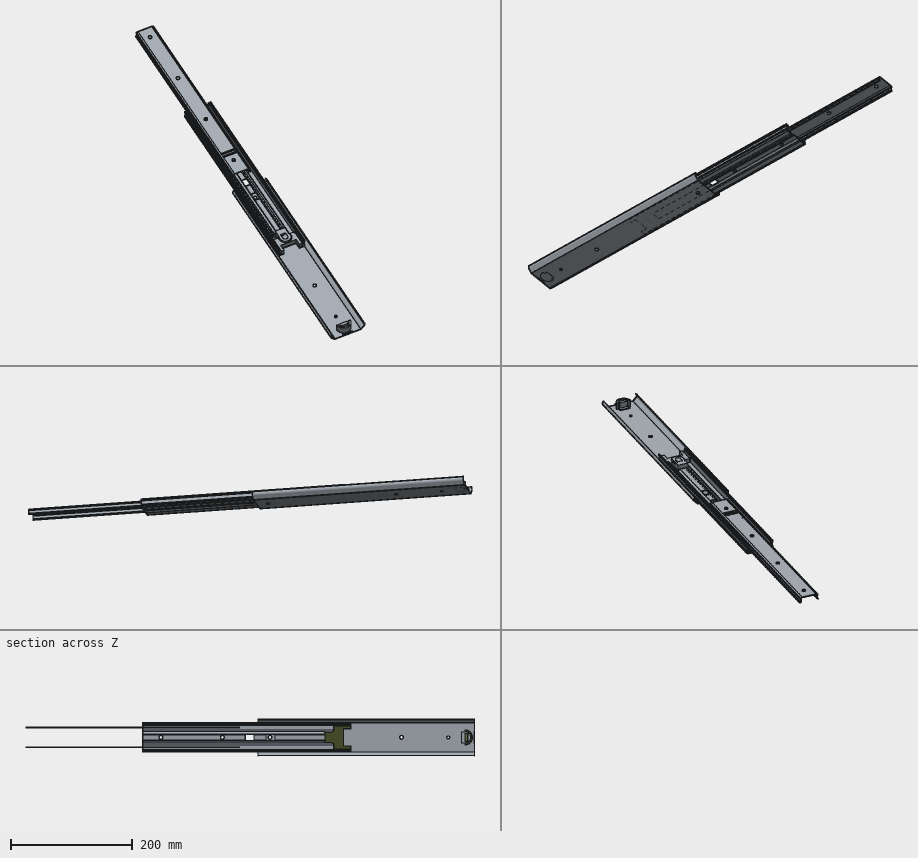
import cadquery as cq

HEIGHT = 16.0
SHEET = 1.5
MITER = SHEET / 2
HOLE_RADIUS = 3.0
TALL = 2 * HEIGHT

OUTER_START = 381.0
OUTER_END = 737.0
OUTER_HALF_WIDTH = 32.0
OUTER_WEB_HALF = 24.0
OUTER_LIP_THICKNESS = 0.9
OUTER_LIP_TOP = 14.0
OUTER_LIP_Y = 29.5
OUTER_BEND = (29.5, 5.0)
OUTER_RACE_Z = 9.5
OUTER_HOLES = (401.0, 617.0)
RIVET_HOLE_X = 693.0
RIVET_HOLE_RADIUS = 2.0

MIDDLE_START = 191.5
MIDDLE_END = 533.5
MIDDLE_HALF_WIDTH = 24.0
MIDDLE_BOTTOM = 1.85
MIDDLE_WEB_HALF = 21.0
MIDDLE_LIP = 2.0
GROOVE_DEPTH = 1.1

RIDGE_TOP = 5.5
RIDGE_TOP_HALF = 5.5
RIDGE_FOOT_HALF = 9.5
RIDGE_END = 491.0
WINDOW_HALF = 4.8
WINDOWS = ((360.0, 374.0), (394.0, 409.0))
END_NOTCH_START = 521.5
END_NOTCH_HALF = 14.0

INNER_LENGTH = 351.0
INNER_HALF_WIDTH = 17.0
INNER_BOTTOM = 6.0
INNER_WEB_HALF = 12.5
INNER_SHOULDER_HALF = 16.0
INNER_SHOULDER_Z = 15.0
INNER_GROOVE_DEPTH = 1.5
INNER_FIRST_HOLE = 20.0
INNER_HOLE_PITCH = 101.0
INNER_HOLE_COUNT = 4
INNER_HOLES = [INNER_FIRST_HOLE + i * INNER_HOLE_PITCH for i in range(INNER_HOLE_COUNT)]
SLIT_WIDTH = 2.0
SLIT_LENGTH = 22.0
SLITS = (302.0, 309.0)

RETAINER_END = 505.0
RETAINER_FOOT_START = 12.5
RETAINER_FOOT_END = 20.5
RETAINER_FOOT_THICKNESS = 2.0
RETAINER_WALL = 1.1
RETAINER_TOP = 15.5

STOP_HEAD_HALF = 9.0
STOP_TOP = 13.0
STOP_BASE_START = 505.5
STOP_BASE_HALF = 19.0
STOP_BASE_TOP = 12.0
STOP_NOSE_X = 510.0
STOP_NOSE_RADIUS = 12.0
STOP_CHAMFER = 2.0
STOP_CHANNEL_START = 502.0
STOP_CHANNEL_RADIUS = 4.5

BUMPER_X = 720.5
BUMPER_RADIUS = 12.5
BUMPER_WALL = 3.0
BUMPER_TOP = 13.0
BUMPER_CORE_DEPTH = 5.0
BUMPER_CORE_HALF = 6.5
BUMPER_PLATE_START = 715.0
BUMPER_PLATE_HALF = 9.0
BUMPER_PLATE_TOP = 3.0

TAB_HALF = 9.0
TAB_HEIGHT = 4.0


def box(x_range, y_range, z_range):
    """Block spanning the given ranges."""
    lengths = [end - start for start, end in (x_range, y_range, z_range)]
    corner = (x_range[0], y_range[0], z_range[0])
    return cq.Workplane("XY").box(*lengths, centered=False).translate(corner)


def hole(x, radius):
    """Vertical cutter on the slide's centre line."""
    return cq.Workplane("XY").center(x, 0).circle(radius).extrude(TALL)


def rail(half_outline, start, end):
    """Extrude a half section along X and mirror it about the centre plane."""
    half = half_outline.close().extrude(end - start).translate((start, 0, 0))
    return half.union(half.mirror("XZ")).clean()


def outer_half():
    bend_y, bend_z = OUTER_BEND
    return (
        cq.Workplane("YZ")
        .moveTo(0, 0)
        .lineTo(OUTER_WEB_HALF, 0)
        .lineTo(bend_y, bend_z)
        .threePointArc((OUTER_HALF_WIDTH, OUTER_RACE_Z), (OUTER_LIP_Y, OUTER_LIP_TOP))
        .lineTo(OUTER_LIP_Y - OUTER_LIP_THICKNESS, OUTER_LIP_TOP - OUTER_LIP_THICKNESS)
        .threePointArc((OUTER_HALF_WIDTH - SHEET, OUTER_RACE_Z), (bend_y - SHEET, bend_z + MITER))
        .lineTo(OUTER_WEB_HALF - MITER, SHEET)
        .lineTo(0, SHEET)
    )


def outer_rail():
    body = rail(outer_half(), OUTER_START, OUTER_END)
    for x in OUTER_HOLES:
        body = body.cut(hole(x, HOLE_RADIUS))
    body = body.cut(hole(RIVET_HOLE_X, RIVET_HOLE_RADIUS))
    tab = box((OUTER_END - SHEET, OUTER_END), (-TAB_HALF, TAB_HALF), (0, TAB_HEIGHT))
    return body.union(tab)


def middle_half(ridge):
    """Half section of the middle rail, with or without its raised centre ridge."""
    web_top = MIDDLE_BOTTOM + SHEET
    low = MIDDLE_BOTTOM + MIDDLE_LIP
    groove_low = low + MIDDLE_LIP + GROOVE_DEPTH
    groove_high = HEIGHT - MIDDLE_LIP - GROOVE_DEPTH
    groove_y = MIDDLE_HALF_WIDTH - GROOVE_DEPTH
    outside = [
        (MIDDLE_WEB_HALF, MIDDLE_BOTTOM),
        (MIDDLE_HALF_WIDTH, low),
        (MIDDLE_HALF_WIDTH, low + MIDDLE_LIP),
        (groove_y, groove_low),
        (groove_y, groove_high),
        (MIDDLE_HALF_WIDTH, HEIGHT - MIDDLE_LIP),
        (MIDDLE_HALF_WIDTH, HEIGHT),
    ]
    inside = [
        (MIDDLE_HALF_WIDTH - SHEET, HEIGHT),
        (MIDDLE_HALF_WIDTH - SHEET, HEIGHT - MIDDLE_LIP + MITER),
        (groove_y - SHEET, groove_high + MITER),
        (groove_y - SHEET, groove_low - MITER),
        (MIDDLE_HALF_WIDTH - SHEET, low + MIDDLE_LIP - MITER),
        (MIDDLE_HALF_WIDTH - SHEET, low + MITER),
        (MIDDLE_WEB_HALF - MITER, web_top),
    ]
    if ridge:
        under = [
            (0, RIDGE_TOP - SHEET),
            (RIDGE_TOP_HALF - SHEET, RIDGE_TOP - SHEET),
            (RIDGE_FOOT_HALF - SHEET, MIDDLE_BOTTOM),
        ]
        over = [
            (RIDGE_FOOT_HALF, web_top),
            (RIDGE_TOP_HALF, RIDGE_TOP),
            (0, RIDGE_TOP),
        ]
    else:
        under = [(0, MIDDLE_BOTTOM)]
        over = [(0, web_top)]
    return cq.Workplane("YZ").polyline(under + outside + inside + over)


def end_notch():
    """Cutter that leaves two prongs at the far end of the middle rail and its stop."""
    return box((END_NOTCH_START, MIDDLE_END), (-END_NOTCH_HALF, END_NOTCH_HALF), (0, TALL))


def middle_rail():
    ridged = rail(middle_half(ridge=True), MIDDLE_START, RIDGE_END)
    plain = rail(middle_half(ridge=False), RIDGE_END, MIDDLE_END)
    body = ridged.union(plain)
    for window in WINDOWS:
        body = body.cut(box(window, (-WINDOW_HALF, WINDOW_HALF), (0, TALL)))
    for x in INNER_HOLES:
        if x > MIDDLE_START:
            body = body.cut(hole(x, HOLE_RADIUS))
    return body.cut(end_notch())


def inner_half():
    low = INNER_BOTTOM + MITER
    groove_y = INNER_HALF_WIDTH - INNER_GROOVE_DEPTH
    groove_low = low + INNER_GROOVE_DEPTH
    high = INNER_SHOULDER_Z - MITER
    groove_high = high - INNER_GROOVE_DEPTH
    return cq.Workplane("YZ").polyline(
        [
            (0, HEIGHT),
            (INNER_WEB_HALF, HEIGHT),
            (INNER_SHOULDER_HALF, INNER_SHOULDER_Z),
            (INNER_SHOULDER_HALF, high),
            (groove_y, groove_high),
            (groove_y, groove_low),
            (INNER_HALF_WIDTH, low),
            (INNER_HALF_WIDTH, INNER_BOTTOM),
            (INNER_HALF_WIDTH - SHEET, INNER_BOTTOM),
            (groove_y - SHEET, groove_low - MITER),
            (groove_y - SHEET, groove_high + MITER),
            (INNER_SHOULDER_HALF - SHEET, high),
            (INNER_WEB_HALF - MITER, HEIGHT - SHEET),
            (0, HEIGHT - SHEET),
        ]
    )


def inner_rail():
    body = rail(inner_half(), 0, INNER_LENGTH)
    for x in INNER_HOLES:
        body = body.cut(hole(x, HOLE_RADIUS))
    for x in SLITS:
        slit_x = (x - SLIT_WIDTH / 2, x + SLIT_WIDTH / 2)
        body = body.cut(box(slit_x, (-SLIT_LENGTH / 2, SLIT_LENGTH / 2), (INNER_BOTTOM, TALL)))
    return body


def ball_retainer(side):
    """Angle strip between the inner and middle rails; side is +1 or -1 along Y."""
    floor = MIDDLE_BOTTOM + SHEET
    foot_top = floor + RETAINER_FOOT_THICKNESS
    wall_inside = RETAINER_FOOT_END - RETAINER_WALL
    outline = [
        (side * RETAINER_FOOT_START, floor),
        (side * RETAINER_FOOT_END, floor),
        (side * RETAINER_FOOT_END, RETAINER_TOP),
        (side * wall_inside, RETAINER_TOP),
        (side * wall_inside, foot_top),
        (side * RETAINER_FOOT_START, foot_top),
    ]
    strip = cq.Workplane("YZ").polyline(outline).close().extrude(RETAINER_END - MIDDLE_START)
    return strip.translate((MIDDLE_START, 0, 0))


def end_stop():
    floor = MIDDLE_BOTTOM + SHEET
    head = box((RIDGE_END, STOP_NOSE_X), (-STOP_HEAD_HALF, STOP_HEAD_HALF), (floor, STOP_TOP))
    base = box((STOP_BASE_START, MIDDLE_END), (-STOP_BASE_HALF, STOP_BASE_HALF), (floor, STOP_BASE_TOP))
    nose = (
        cq.Workplane("XY", origin=(STOP_NOSE_X, 0, floor))
        .circle(STOP_NOSE_RADIUS)
        .extrude(STOP_TOP - floor)
        .faces(">Z")
        .chamfer(STOP_CHAMFER)
    )
    channel = (
        cq.Workplane("YZ", origin=(STOP_CHANNEL_START, 0, STOP_TOP))
        .circle(STOP_CHANNEL_RADIUS)
        .extrude(STOP_NOSE_X - STOP_CHANNEL_START)
    )
    channel_end = cq.Workplane("XY").sphere(STOP_CHANNEL_RADIUS).translate((STOP_NOSE_X, 0, STOP_TOP))
    return head.union(base).union(nose).cut(end_notch()).cut(channel).cut(channel_end)


def bumper():
    """Plate with a D-shaped wall around a rectangular core."""
    plate_x = (BUMPER_PLATE_START, BUMPER_X)
    plate = box(plate_x, (-BUMPER_PLATE_HALF, BUMPER_PLATE_HALF), (SHEET, BUMPER_PLATE_TOP))
    round_wall = (
        cq.Workplane("XY", origin=(BUMPER_X, 0, SHEET))
        .circle(BUMPER_RADIUS)
        .extrude(BUMPER_TOP - SHEET)
    )
    pocket = (
        cq.Workplane("XY", origin=(BUMPER_X, 0, BUMPER_PLATE_TOP))
        .circle(BUMPER_RADIUS - BUMPER_WALL)
        .extrude(TALL)
    )
    far_half = box((BUMPER_X, OUTER_END), (-BUMPER_RADIUS, BUMPER_RADIUS), (0, TALL))
    core_x = (BUMPER_X, BUMPER_X + BUMPER_CORE_DEPTH)
    core = box(core_x, (-BUMPER_CORE_HALF, BUMPER_CORE_HALF), (SHEET, BUMPER_TOP))
    return round_wall.cut(pocket).intersect(far_half).union(core).union(plate)


retainers = [ball_retainer(side).val() for side in (1, -1)]
result = cq.Compound.makeCompound(
    [
        outer_rail().val(),
        middle_rail().val(),
        inner_rail().val(),
        *retainers,
        end_stop().val(),
        bumper().val(),
    ]
)